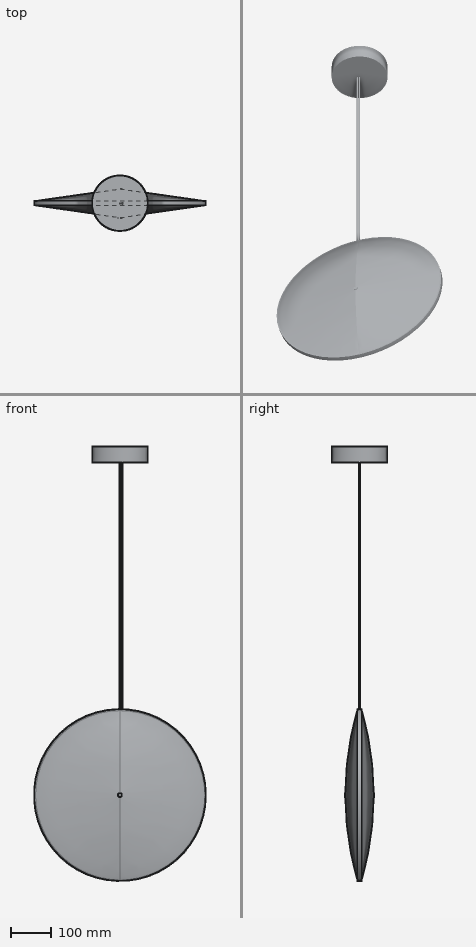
import cadquery as cq

total_height = 1076.08
canopy_diameter = 138.08
canopy_height = 40.0
disc_diameter = 426.0
rim_width = 11.0
rim_lip = 3.5
lens_thickness = 71.0
pin_diameter = 10.0
pin_projection = 1.5
suspension_diameter = 3.0
cable_diameter = 4.0
cord_spacing = 5.5
cord_embed = 6.0

disc_radius = disc_diameter / 2
shell_radius = disc_radius - rim_lip
half_rim = rim_width / 2
half_lens = lens_thickness / 2
canopy_bottom = total_height - disc_radius - canopy_height


def skin_edge(x_side, y_side):
    """Semicircle on the rim face where one skin ends, from bottom to top."""
    y = y_side * half_rim
    bottom = cq.Vector(0, y, -shell_radius)
    middle = cq.Vector(x_side * shell_radius, y, 0)
    top = cq.Vector(0, y, shell_radius)
    return cq.Edge.makeThreePointArc(bottom, middle, top)


def disc_side(y_side):
    """Faces of one side: two skins meeting at a curved vertical spine, and the flat lip around them."""
    y = y_side * half_rim
    bottom = cq.Vector(0, y, -shell_radius)
    crown = cq.Vector(0, y_side * half_lens, 0)
    top = cq.Vector(0, y, shell_radius)
    spine = cq.Edge.makeThreePointArc(bottom, crown, top)
    edges = [skin_edge(x_side, y_side) for x_side in (-1, 1)]
    skins = [cq.Face.makeRuledSurface(spine, edge) for edge in edges]
    outer_circle = cq.Edge.makeCircle(disc_radius, cq.Vector(0, y, 0), cq.Vector(0, 1, 0))
    outer = cq.Wire.assembleEdges([outer_circle])
    inner = cq.Wire.assembleEdges(edges)
    return skins + [cq.Face.makeFromWires(outer, [inner])]


def make_disc():
    """Lens-shaped disc closed by the cylindrical rim."""
    rim = cq.Workplane("XZ").circle(disc_radius).extrude(half_rim, both=True)
    rim_wall = rim.faces("%CYLINDER").vals()
    shell = cq.Shell.makeShell(disc_side(-1) + disc_side(1) + rim_wall)
    return cq.Workplane(cq.Solid.makeSolid(shell).fix())


def make_pin():
    """Centre pin standing slightly proud of both crowns."""
    half_length = half_lens + pin_projection
    return cq.Workplane("XZ").circle(pin_diameter / 2).extrude(half_length, both=True)


def make_cord(diameter, x):
    """Round vertical cord from inside the rim up to the canopy."""
    start = disc_radius - cord_embed
    cord = cq.Workplane("XY", origin=(x, 0, start)).circle(diameter / 2)
    return cord.extrude(canopy_bottom - start)


def make_canopy():
    """Round ceiling canopy at the top of the cords."""
    canopy = cq.Workplane("XY", origin=(0, 0, canopy_bottom)).circle(canopy_diameter / 2)
    return canopy.extrude(canopy_height)


suspension_cord = make_cord(suspension_diameter, 0)
power_cable = make_cord(cable_diameter, cord_spacing)
cords = suspension_cord.union(power_cable)
result = make_disc().union(make_pin()).union(cords).union(make_canopy())